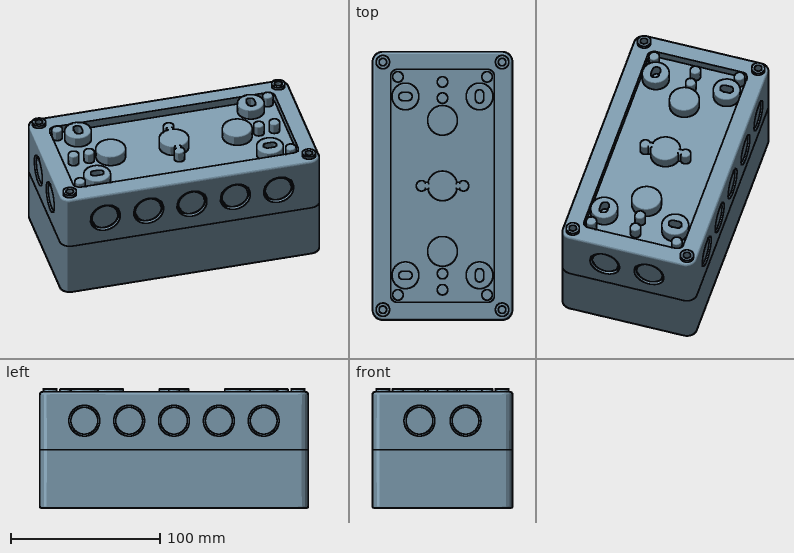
import cadquery as cq

LENGTH = 180.0
WIDTH = 94.0
HEIGHT = 80.0
CORNER_RADIUS = 7.0
PARTING_HEIGHT = 39.0
BOTTOM_EDGE_RADIUS = 1.0
RIM_EDGE_RADIUS = 2.0

FOOT_HEIGHT = 2.0
RIM_HEIGHT = HEIGHT - FOOT_HEIGHT
POCKET_LENGTH = 156.2
POCKET_WIDTH = 69.5
POCKET_CORNER_RADIUS = 4.5
POCKET_DEPTH = 5.5
POCKET_FLOOR = RIM_HEIGHT - POCKET_DEPTH
BOSS_HEIGHT = HEIGHT - POCKET_FLOOR
BOSS_EDGE_RADIUS = 0.99

POST_DIAMETER = 7.0
CORNER_POST_X = 29.9
CORNER_POST_Y = 73.0
INNER_POST_Y = 58.9
OUTER_POST_Y = 69.7

MOUNT_DIAMETER = 18.0
MOUNT_X = 24.8
MOUNT_Y = 60.0
SLOT_LENGTH = 9.0
SLOT_WIDTH = 5.5
SLOT_DEPTH = BOSS_HEIGHT

DISC_DIAMETER = 20.0
DISC_Y = 44.0
EAR_X = 14.0
WEB_WIDTH = 4.7

SCREW_X = WIDTH / 2 - CORNER_RADIUS
SCREW_Y = LENGTH / 2 - CORNER_RADIUS
COLLAR_DIAMETER = 9.0
SCREW_DIAMETER = 5.0
SCREW_TOP = POCKET_FLOOR
SCREW_POINTS = [(x, y) for x in (-SCREW_X, SCREW_X) for y in (-SCREW_Y, SCREW_Y)]

KNOCKOUT_DIAMETER = 20.7
KNOCKOUT_DISC_DIAMETER = 18.0
KNOCKOUT_DISC_RECESS = 1.0
KNOCKOUT_GROOVE_DEPTH = 3.0
KNOCKOUT_HEIGHT = 58.5
END_KNOCKOUT_PITCH = 31.0
END_KNOCKOUT_COUNT = 2
SIDE_KNOCKOUT_PITCH = 30.0
SIDE_KNOCKOUT_COUNT = 5


def rounded_block(bottom, top):
    """Slab of the enclosure's outline between two heights."""
    return (
        cq.Workplane("XY", origin=(0, 0, bottom))
        .rect(WIDTH, LENGTH)
        .extrude(top - bottom)
        .edges("|Z")
        .fillet(CORNER_RADIUS)
    )


def cylinders(points, diameter, bottom, top):
    """Upright cylinders of one diameter at the given points."""
    return (
        cq.Workplane("XY", origin=(0, 0, bottom))
        .pushPoints(points)
        .circle(diameter / 2)
        .extrude(top - bottom)
    )


def pocket():
    return (
        cq.Workplane("XY", origin=(0, 0, POCKET_FLOOR))
        .rect(POCKET_WIDTH, POCKET_LENGTH)
        .extrude(POCKET_DEPTH)
        .edges("|Z")
        .fillet(POCKET_CORNER_RADIUS)
    )


def bosses(points, diameter):
    """Round bosses on the pocket floor with rounded top edges."""
    plain = cylinders(points, diameter, POCKET_FLOOR, HEIGHT)
    return plain.faces(">Z").edges().fillet(BOSS_EDGE_RADIUS)


def eared_disc():
    """Middle disc with a post on each side, joined to it by webs."""
    disc = cylinders([(0, 0)], DISC_DIAMETER, POCKET_FLOOR, HEIGHT)
    ears = cylinders([(-EAR_X, 0), (EAR_X, 0)], POST_DIAMETER, POCKET_FLOOR, HEIGHT)
    web = (
        cq.Workplane("XY", origin=(0, 0, POCKET_FLOOR))
        .rect(2 * EAR_X, WEB_WIDTH)
        .extrude(BOSS_HEIGHT)
    )
    plain = disc.union(web).union(ears)
    return plain.faces(">Z").edges().fillet(BOSS_EDGE_RADIUS)


def mounting_slots(x, angle):
    """Blind slots in the mounting bosses at one x position."""
    return (
        cq.Workplane("XY", origin=(0, 0, HEIGHT))
        .pushPoints([(x, -MOUNT_Y), (x, MOUNT_Y)])
        .slot2D(SLOT_LENGTH, SLOT_WIDTH, angle)
        .extrude(-SLOT_DEPTH)
    )


def knockout_row(plane, wall_distance, pitch, count):
    """Cutters for sunken discs in ring grooves, in the two opposite walls across the plane's normal."""
    cutters = cq.Workplane(plane)
    for side in (-1, 1):
        centers = (
            cq.Workplane(plane, origin=(0, 0, KNOCKOUT_HEIGHT))
            .workplane(offset=side * wall_distance)
            .rarray(pitch, 1.8, count, 1)
        )
        recesses = centers.circle(KNOCKOUT_DIAMETER / 2).extrude(-side * KNOCKOUT_DISC_RECESS)
        grooves = (
            centers.circle(KNOCKOUT_DIAMETER / 2)
            .circle(KNOCKOUT_DISC_DIAMETER / 2)
            .extrude(-side * KNOCKOUT_GROOVE_DEPTH)
        )
        cutters = cutters.union(recesses).union(grooves)
    return cutters


def screw_bores():
    return cylinders(SCREW_POINTS, SCREW_DIAMETER, 0, HEIGHT)


def make_box():
    """Upper half: the box, with its back facing up."""
    posts = [(x, y) for x in (-CORNER_POST_X, CORNER_POST_X) for y in (-CORNER_POST_Y, CORNER_POST_Y)]
    posts += [(0, side * y) for side in (-1, 1) for y in (INNER_POST_Y, OUTER_POST_Y)]
    mounts = [(x, y) for x in (-MOUNT_X, MOUNT_X) for y in (-MOUNT_Y, MOUNT_Y)]

    body = rounded_block(PARTING_HEIGHT, RIM_HEIGHT).faces(">Z").edges().fillet(RIM_EDGE_RADIUS)
    body = body.cut(pocket())
    body = body.union(bosses(posts, POST_DIAMETER))
    body = body.union(bosses(mounts, MOUNT_DIAMETER))
    body = body.union(bosses([(0, -DISC_Y), (0, DISC_Y)], DISC_DIAMETER))
    body = body.union(eared_disc())
    body = body.union(cylinders(SCREW_POINTS, COLLAR_DIAMETER, POCKET_FLOOR, HEIGHT))
    body = body.cut(mounting_slots(-MOUNT_X, 0)).cut(mounting_slots(MOUNT_X, 90))
    body = body.cut(knockout_row("XZ", LENGTH / 2, END_KNOCKOUT_PITCH, END_KNOCKOUT_COUNT))
    body = body.cut(knockout_row("YZ", WIDTH / 2, SIDE_KNOCKOUT_PITCH, SIDE_KNOCKOUT_COUNT))
    return body.cut(screw_bores())


def make_lid():
    """Lower half: the lid that closes the box."""
    body = rounded_block(0, PARTING_HEIGHT).faces("<Z").edges().fillet(BOTTOM_EDGE_RADIUS)
    return body.cut(screw_bores())


def make_screw(x, y):
    """Plain pin that fills the bore from the lid's underside up to below the collar."""
    return cylinders([(x, y)], SCREW_DIAMETER, 0, SCREW_TOP)


box = make_box()
lid = make_lid()
screws = [make_screw(x, y) for x, y in SCREW_POINTS]

result = cq.Compound.makeCompound([box.val(), lid.val(), *[screw.val() for screw in screws]])